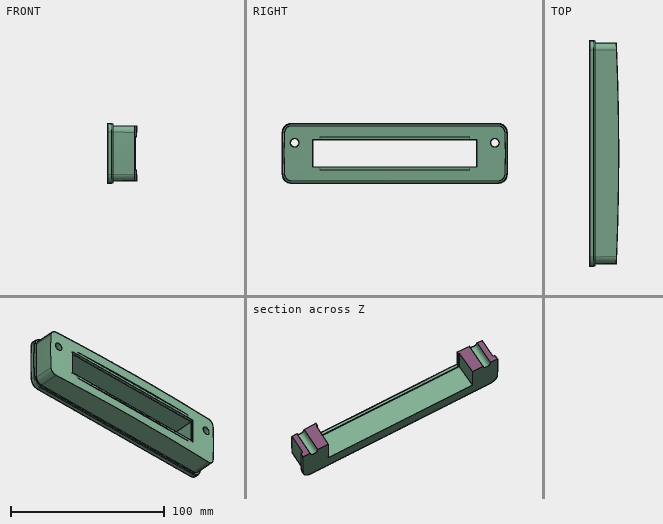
import cadquery as cq

LENGTH = 147.0
HEIGHT = 39.0
CORNER_RADIUS = 5.9
END_BOW = 0.6
FLANGE_THICKNESS = 3.5
FLANGE_DRAFT = 1.0
RIM_BEVEL_DEPTH = 0.9
RIM_BEVEL_INSET = 0.3

BODY_INSET = 1.5
BODY_DRAFT = 0.3
DEPTH = 19.0
END_DEPTH = 17.3
REAR_FLAT_DEPTH = 18.2
REAR_FLAT_HEIGHT = 21.5

WINDOW_LENGTH = 108.5
WINDOW_HEIGHT = 20.0
WINDOW_TAPER = 1.5
WINDOW_DEPTH = 16.2
OPENING_LENGTH = 106.5
OPENING_HEIGHT = 17.5

HOLE_DIAMETER = 5.5
HOLE_SPACING = 130.2
HOLE_HEIGHT = 6.9


def bowed_block(inset, depth, draft):
    """Drafted block along +X: straight long sides, bowed ends, rounded corners."""
    end = LENGTH / 2 - inset
    top = HEIGHT / 2 - inset
    shoulder = end - END_BOW
    block = (
        cq.Workplane("YZ")
        .moveTo(-shoulder, -top)
        .lineTo(shoulder, -top)
        .threePointArc((end, 0), (shoulder, top))
        .lineTo(-shoulder, top)
        .threePointArc((-end, 0), (-shoulder, -top))
        .close()
        .extrude(depth, taper=draft)
    )
    return block.edges("not(<X or >X)").fillet(CORNER_RADIUS - inset)


def make_flange():
    flange = bowed_block(0, FLANGE_THICKNESS, FLANGE_DRAFT)
    rear_rim = flange.faces(">X").edges()
    bevelled = flange.val().chamfer(RIM_BEVEL_DEPTH, RIM_BEVEL_INSET, rear_rim.vals())
    return cq.Workplane(bevelled)


def make_body():
    body_length = LENGTH - 2 * BODY_INSET
    body_height = HEIGHT - 2 * BODY_INSET
    blank = bowed_block(BODY_INSET, DEPTH, BODY_DRAFT)
    half_length = body_length / 2
    crown = (
        cq.Workplane("XY")
        .moveTo(0, -half_length)
        .lineTo(END_DEPTH, -half_length)
        .threePointArc((DEPTH, 0), (END_DEPTH, half_length))
        .lineTo(0, half_length)
        .close()
        .extrude(body_height / 2, both=True)
    )
    return blank.intersect(crown)


def make_rear_flat():
    """Cutter for the lengthwise flat across the top of the crown."""
    cut_depth = DEPTH - REAR_FLAT_DEPTH
    return (
        cq.Workplane("YZ", origin=(REAR_FLAT_DEPTH, 0, 0))
        .rect(LENGTH, REAR_FLAT_HEIGHT)
        .extrude(cut_depth)
    )


def make_window():
    window = (
        cq.Workplane("YZ")
        .rect(WINDOW_LENGTH, WINDOW_HEIGHT)
        .extrude(WINDOW_DEPTH, taper=WINDOW_TAPER)
    )
    opening = cq.Workplane("YZ").rect(OPENING_LENGTH, OPENING_HEIGHT).extrude(DEPTH)
    return window.union(opening)


def make_screw_holes():
    half_spacing = HOLE_SPACING / 2
    centers = [(side * half_spacing, HOLE_HEIGHT) for side in (-1, 1)]
    return cq.Workplane("YZ").pushPoints(centers).circle(HOLE_DIAMETER / 2).extrude(DEPTH)


result = make_flange().union(make_body())
result = result.cut(make_rear_flat())
result = result.cut(make_window())
result = result.cut(make_screw_holes())